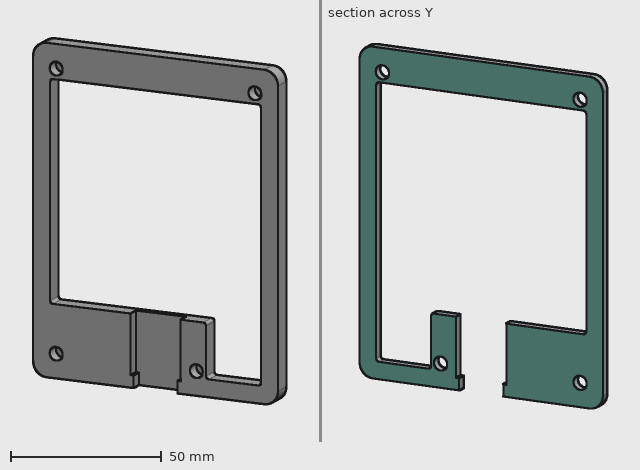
import cadquery as cq

width = 90.0
thickness = 6.5
height = 115.0
corner_radius = 5.1

side_wall = 6.3
top_wall = 12.2
bottom_wall = 6.2
block_top = 25.5
block_right = 63.6
window_radius = 1.0

hole_diameter = 4.7
hole_depth = 5.0
hole_inset = 8.5
block_hole_x = 60.0

channel_width = 18.4
channel_mouth_width = 16.1
channel_mouth_height = 4.4
channel_depth = 4.1


def front_plane():
    """Sketch plane on the front face, origin at its lower left corner, normal to -Y."""
    return cq.Workplane("XZ")


def make_plate():
    return (
        front_plane()
        .rect(width, height, centered=False)
        .extrude(-thickness)
        .edges("|Y")
        .fillet(corner_radius)
    )


def make_window():
    window_right = width - side_wall
    window_top = height - top_wall
    outline = [
        (side_wall, block_top),
        (block_right, block_top),
        (block_right, bottom_wall),
        (window_right, bottom_wall),
        (window_right, window_top),
        (side_wall, window_top),
    ]
    return front_plane().polyline(outline).close().extrude(-thickness).edges("|Y").fillet(window_radius)


def make_channel():
    def centred_slot(slot_width, bottom, top):
        return (
            front_plane()
            .center(width / 2, (bottom + top) / 2)
            .rect(slot_width, top - bottom)
            .extrude(-channel_depth)
        )

    mouth = centred_slot(channel_mouth_width, 0, channel_mouth_height)
    return centred_slot(channel_width, channel_mouth_height, block_top).union(mouth)


def make_holes():
    upper_z = height - hole_inset
    centres = [
        (hole_inset, hole_inset),
        (block_hole_x, hole_inset),
        (hole_inset, upper_z),
        (width - hole_inset, upper_z),
    ]
    return front_plane().pushPoints(centres).circle(hole_diameter / 2).extrude(-hole_depth)


result = make_plate().cut(make_window()).cut(make_channel()).cut(make_holes())